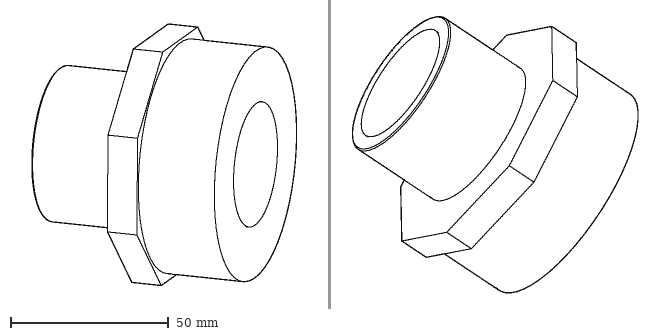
import cadquery as cq
import math

bore_diameter = 40.0
spigot_diameter = 50.0
spigot_length = 30.9
spigot_chamfer = 0.5
collar_width = 77.5
collar_thickness = 10.0
collar_sides = 8
collar_tilt = -1.0
sleeve_diameter = 75.0
sleeve_length = 25.75

spigot_start = 0.0
collar_start = spigot_start + spigot_length
sleeve_start = collar_start + collar_thickness

half_side_angle = 180 / collar_sides
corner_angle = math.radians(half_side_angle - abs(collar_tilt))
corner_diameter = collar_width / math.cos(corner_angle)


def cylinder(start, diameter, length):
    """Round bar along X that begins at the given station."""
    return cq.Workplane("YZ", origin=(start, 0, 0)).circle(diameter / 2).extrude(length)


def make_octagon_collar():
    """Octagonal plate across the axis, its flats turned slightly off square."""
    return (
        cq.Workplane("YZ", origin=(collar_start, 0, 0))
        .polygon(collar_sides, corner_diameter)
        .extrude(collar_thickness)
        .rotate((0, 0, 0), (1, 0, 0), half_side_angle + collar_tilt)
    )


def make_collared_spigot():
    """Chamfered tube carrying the octagonal collar, bored through."""
    spigot = cylinder(spigot_start, spigot_diameter, spigot_length).faces("<X").chamfer(spigot_chamfer)
    bore = cylinder(spigot_start, bore_diameter, spigot_length + collar_thickness)
    return spigot.union(make_octagon_collar()).cut(bore)


def make_sleeve():
    """Large round sleeve seated against the back of the collar."""
    sleeve = cylinder(sleeve_start, sleeve_diameter, sleeve_length)
    return sleeve.cut(cylinder(sleeve_start, bore_diameter, sleeve_length))


collared_spigot = make_collared_spigot()
sleeve = make_sleeve()

result = cq.Compound.makeCompound([collared_spigot.val(), sleeve.val()])